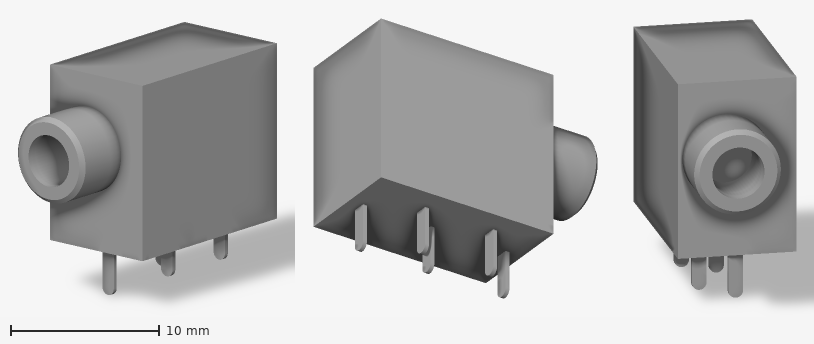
import cadquery as cq

body_width = 8.2
body_length = 14.0
body_height = 12.3

total_length = 18
barrel_length = total_length - body_length
barrel_diameter = 6.0
barrel_chamfer = 0.3
bore_diameter = 3.6
bore_depth = barrel_length
barrel_x = 3.31
barrel_z = body_height - 5.31

pin_length = 3.31
pin_width = 1.0
pin_thickness = 0.3
left_pin_x = 2.23
right_pin_x = 4.25
pin_places = [
    (right_pin_x, 1.22),
    (left_pin_x, 3.58),
    (right_pin_x, 7.33),
    (left_pin_x, 9.1),
    (right_pin_x, 12.8),
]


def make_barrel():
    """Solid barrel pointing toward -Y, chamfered at its free end."""
    return (
        cq.Workplane("XZ")
        .center(barrel_x, barrel_z)
        .circle(barrel_diameter / 2)
        .extrude(barrel_length)
        .faces("<Y")
        .chamfer(barrel_chamfer)
    )


def make_bore():
    """Blind bore running back from the free end of the barrel."""
    return (
        cq.Workplane("XZ", origin=(0, -barrel_length, 0))
        .center(barrel_x, barrel_z)
        .circle(bore_diameter / 2)
        .extrude(-bore_depth)
    )


def make_pin(x, y):
    """Flat pin with a full-round tip, centred on (x, y)."""
    radius = pin_width / 2
    shoulder_z = radius - pin_length
    return (
        cq.Workplane("XZ", origin=(x, y, 0))
        .moveTo(-radius, 0)
        .lineTo(-radius, shoulder_z)
        .threePointArc((0, -pin_length), (radius, shoulder_z))
        .lineTo(radius, 0)
        .close()
        .extrude(pin_thickness / 2, both=True)
    )


housing = cq.Workplane("XY").box(body_width, body_length, body_height, centered=False)
result = housing.union(make_barrel()).cut(make_bore())
for pin_x, pin_y in pin_places:
    result = result.union(make_pin(pin_x, pin_y))